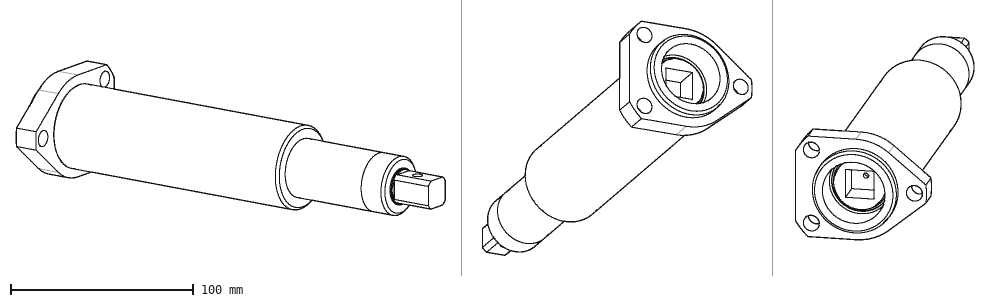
import cadquery as cq
import math

flange_start = 6.0
flange_end = 19.4
drive_start = 15.7
mouth_end = 18.8
sleeve_start = mouth_end
tube_end = 171.0
cap_start = 222.4
cap_end = 237.3
collar_end = 238.0
square_start = 238.8
shaft_end = 261.5

tube_radius = 23.5
mouth_radius = 17.5
sleeve_radius = 16.5
collar_radius = 10.2
edge_chamfer = 1.5
joint_chamfer = 0.8
sleeve_chamfer = 1.0

flange_height = 57.8
flange_half_height = flange_height / 2
flange_back = 34.0
flange_tip = 39.5
tip_half_width = 5.2
bolt_circle_radius = 32.7
bolt_hole_diameter = 9.0
bolt_angles = (40, 180, 320)

square_side = 16.0
square_corner_radius = 9.7
pin_hole_x = 248.5
pin_hole_diameter = 5.5
drive_radius = 14.6
socket_depth = square_side
center_hole_diameter = 3.0
center_hole_depth = 4.0


def cylinder(radius, start, end):
    """A cylinder on the X axis."""
    return cq.Workplane("YZ", origin=(start, 0, 0)).circle(radius).extrude(end - start)


def square_bar(start, end):
    """A square bar on the X axis, with the side of the square drive."""
    return cq.Workplane("YZ", origin=(start, 0, 0)).rect(square_side, square_side).extrude(end - start)


def make_flange_plate():
    """Plate with a round middle, sloping sides tangent to it, and corners and tip on a larger circle."""
    tip_y = -math.sqrt(flange_tip**2 - tip_half_width**2)
    tip_angle = math.atan2(tip_half_width, tip_y)
    tangent_angle = tip_angle - math.acos(flange_half_height / flange_tip)
    arc_middle = (math.pi / 2 + tangent_angle) / 2
    corner_y = math.sqrt(flange_tip**2 - flange_half_height**2)
    corner_z = math.sqrt(flange_tip**2 - flange_back**2)

    def on_circle(radius, angle):
        return radius * math.cos(angle), radius * math.sin(angle)

    corner_middle = on_circle(flange_tip, math.atan2(flange_half_height + corner_z, flange_back + corner_y))
    upper_half = (
        cq.Workplane("YZ", origin=(flange_start, 0, 0))
        .lineTo(flange_back, 0)
        .lineTo(flange_back, corner_z)
        .threePointArc(corner_middle, (corner_y, flange_half_height))
        .lineTo(0, flange_half_height)
        .threePointArc(on_circle(flange_half_height, arc_middle), on_circle(flange_half_height, tangent_angle))
        .lineTo(tip_y, tip_half_width)
        .threePointArc(on_circle(flange_tip, (tip_angle + math.pi) / 2), (-flange_tip, 0))
        .close()
        .extrude(flange_end - flange_start)
    )
    plate = upper_half.union(upper_half.mirror("XY")).clean()
    for angle in bolt_angles:
        hole_y = bolt_circle_radius * math.cos(math.radians(angle))
        hole_z = bolt_circle_radius * math.sin(math.radians(angle))
        hole = cylinder(bolt_hole_diameter / 2, flange_start, flange_end)
        plate = plate.cut(hole.translate((0, hole_y, hole_z)))
    return plate


def make_head():
    """Flange with a short round boss and a bore that narrows from its mouth to the sleeve."""
    boss = cylinder(tube_radius, 0, flange_end).faces("<X").chamfer(edge_chamfer)
    mouth = cylinder(mouth_radius, 0, mouth_end).faces(">X").chamfer(mouth_radius - sleeve_radius)
    bore = cylinder(sleeve_radius, 0, flange_end)
    return make_flange_plate().union(boss).cut(mouth).cut(bore)


def make_tube():
    """Outer tube, butted against the head."""
    tube = cylinder(tube_radius, flange_end, tube_end)
    tube = tube.faces("<X").chamfer(joint_chamfer).faces(">X").chamfer(edge_chamfer)
    return tube.cut(cylinder(sleeve_radius, flange_end, tube_end))


def make_sleeve():
    """Inner sleeve, which fits the outer tube and sticks out of it."""
    sleeve = cylinder(sleeve_radius, sleeve_start, cap_start).faces("<X").chamfer(sleeve_chamfer)
    return sleeve.cut(cylinder(drive_radius, sleeve_start, cap_start))


def make_cap():
    """End cap of the sleeve, with a hole for the collar of the drive shaft."""
    cap = cylinder(sleeve_radius, cap_start, cap_end).faces(">X").chamfer(edge_chamfer)
    return cap.cut(cylinder(collar_radius, cap_start, cap_end))


def make_drive_shaft():
    """Drive shaft with a square socket at one end and a cross-drilled square at the other."""
    body = cylinder(drive_radius, drive_start, cap_start)
    collar = cylinder(collar_radius, cap_start, collar_end)
    neck = cylinder(square_corner_radius, collar_end, square_start)
    rounded_corners = cylinder(square_corner_radius, square_start, shaft_end)
    square = square_bar(square_start, shaft_end).intersect(rounded_corners)
    socket_floor = drive_start + socket_depth
    socket = square_bar(drive_start, socket_floor)
    center_hole = cylinder(center_hole_diameter / 2, socket_floor, socket_floor + center_hole_depth)
    pin_hole = (
        cq.Workplane("XY", origin=(pin_hole_x, 0, -square_side / 2))
        .circle(pin_hole_diameter / 2)
        .extrude(square_side)
    )
    return body.union(collar).union(neck).union(square).cut(socket).cut(center_hole).cut(pin_hole)


head = make_head()
tube = make_tube()
sleeve = make_sleeve()
cap = make_cap()
drive_shaft = make_drive_shaft()

result = cq.Compound.makeCompound([head.val(), tube.val(), sleeve.val(), cap.val(), drive_shaft.val()])